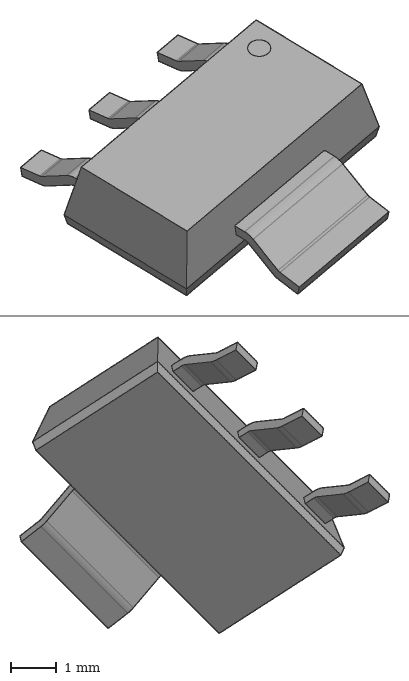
import cadquery as cq
import math

body_length = 6.5
body_width = 3.5
top_length = 5.895
top_width = 3.025
bottom_length = 6.385
bottom_width = 3.4
bottom_z = 0.105
parting_z = 0.39
top_z = 1.8

mark_radius = 0.25
mark_depth = 0.05
mark_x = -0.9
mark_y = 2.33

overall_span = 7.0
sheet_thickness = 0.25
slope_angle = 35.0
foot_angle = 10.0
shoulder_x = 1.94
shoulder_inner_radius = 0.17
ankle_inner_radius = 0.14
slope_run = 0.715
trim_allowance = 0.35
root_x = body_width / 2 - trim_allowance

lead_count = 3
lead_pitch = 2.3
lead_width = 0.7
tab_width = 3.025


def frustum(lower_size, lower_z, upper_size, upper_z):
    """Rectangular frustum between two heights, centred on the Z axis."""
    return (
        cq.Workplane("XY", origin=(0, 0, lower_z))
        .rect(*lower_size)
        .workplane(offset=upper_z - lower_z)
        .rect(*upper_size)
        .loft(ruled=True)
    )


def make_housing_blank():
    widest = (body_width, body_length)
    lower = frustum((bottom_width, bottom_length), bottom_z, widest, parting_z)
    upper = frustum(widest, parting_z, (top_width, top_length), top_z)
    return lower.union(upper)


def make_mark():
    return (
        cq.Workplane("XY", origin=(mark_x, mark_y, top_z - mark_depth))
        .circle(mark_radius)
        .extrude(mark_depth)
    )


def on_circle(center, radius, angle):
    """Point on a circle, with the angle in degrees measured from +Z toward +X."""
    turn = math.radians(angle)
    return (center[0] + radius * math.sin(turn), center[1] + radius * math.cos(turn))


def bent_profile():
    """Closed XZ outline of the sheet, running outward in +X with its foot tip at Z = 0."""
    slope = math.radians(slope_angle)
    foot = math.radians(foot_angle)
    shoulder_outer_radius = shoulder_inner_radius + sheet_thickness
    ankle_outer_radius = ankle_inner_radius + sheet_thickness
    mid_shoulder = slope_angle / 2
    mid_ankle = (slope_angle + foot_angle) / 2

    slope_start = on_circle((0, 0), shoulder_outer_radius, slope_angle)
    slope_end = (slope_start[0] + slope_run, slope_start[1] - slope_run * math.tan(slope))
    ankle = on_circle(slope_end, ankle_inner_radius, slope_angle)
    foot_start = on_circle(ankle, -ankle_inner_radius, foot_angle)
    foot_run = overall_span / 2 - shoulder_x - foot_start[0]
    tip_drop = foot_start[1] - foot_run * math.tan(foot) - sheet_thickness * math.cos(foot)

    shoulder_center = (shoulder_x, -tip_drop)
    ankle_center = (shoulder_x + ankle[0], ankle[1] - tip_drop)
    tip_upper = (overall_span / 2, sheet_thickness * math.cos(foot))
    tip_lower = (overall_span / 2 - sheet_thickness * math.sin(foot), 0)

    return (
        cq.Workplane("XZ")
        .moveTo(root_x, shoulder_center[1] + shoulder_outer_radius)
        .lineTo(*on_circle(shoulder_center, shoulder_outer_radius, 0))
        .threePointArc(
            on_circle(shoulder_center, shoulder_outer_radius, mid_shoulder),
            on_circle(shoulder_center, shoulder_outer_radius, slope_angle),
        )
        .lineTo(*on_circle(ankle_center, -ankle_inner_radius, slope_angle))
        .threePointArc(
            on_circle(ankle_center, -ankle_inner_radius, mid_ankle),
            on_circle(ankle_center, -ankle_inner_radius, foot_angle),
        )
        .lineTo(*tip_upper)
        .lineTo(*tip_lower)
        .lineTo(*on_circle(ankle_center, -ankle_outer_radius, foot_angle))
        .threePointArc(
            on_circle(ankle_center, -ankle_outer_radius, mid_ankle),
            on_circle(ankle_center, -ankle_outer_radius, slope_angle),
        )
        .lineTo(*on_circle(shoulder_center, shoulder_inner_radius, slope_angle))
        .threePointArc(
            on_circle(shoulder_center, shoulder_inner_radius, mid_shoulder),
            on_circle(shoulder_center, shoulder_inner_radius, 0),
        )
        .lineTo(root_x, shoulder_center[1] + shoulder_inner_radius)
        .close()
    )


def make_tab(housing_blank):
    """Wide tab on the +X side, ending against the housing's sloped face."""
    return bent_profile().extrude(tab_width / 2, both=True).cut(housing_blank)


def make_lead(y, housing_blank):
    """Narrow lead on the -X side, ending against the housing's sloped face."""
    lead = bent_profile().extrude(lead_width / 2, both=True).mirror("YZ")
    return lead.translate((0, y, 0)).cut(housing_blank)


housing_blank = make_housing_blank()
mark = make_mark()
housing = housing_blank.cut(mark)
tab = make_tab(housing_blank)

leads = []
for index in range(lead_count):
    lead_y = (index - (lead_count - 1) / 2) * lead_pitch
    leads.append(make_lead(lead_y, housing_blank).val())

bodies = [housing.val(), mark.val(), tab.val(), *leads]
result = cq.Compound.makeCompound([body.Solids()[0] for body in bodies])